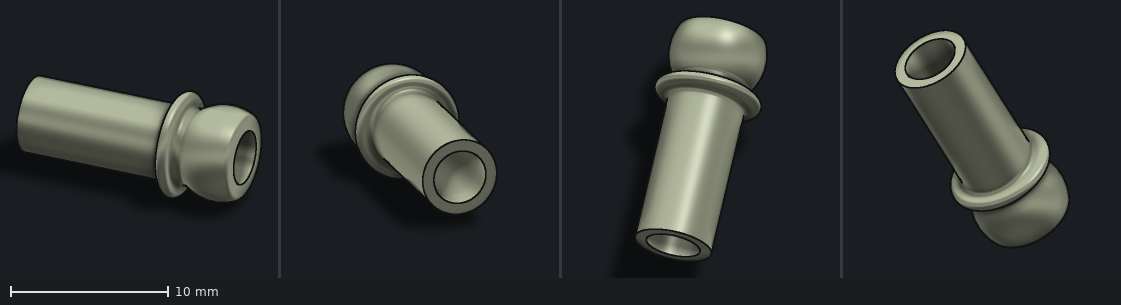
import cadquery as cq
import math

length = 14.82
tube_diameter = 5.0
bore_diameter = 3.5
collar_diameter = 6.95
collar_width = 0.74
collar_center_x = 10.37
ball_diameter = 6.3
ball_center_x = 13.31
blend_radius = 0.4

tube_radius = tube_diameter / 2
ball_radius = ball_diameter / 2
collar_round = collar_width / 2

collar_left = collar_center_x - collar_round
collar_right = collar_center_x + collar_round
collar_crest = collar_diameter / 2
crest_center = collar_crest - collar_round
root_center = tube_radius + blend_radius


def arc_point(center_x, center_r, radius, angle):
    """Point on an arc at the given angle in degrees from +X."""
    turn = math.radians(angle)
    return (center_x + radius * math.cos(turn), center_r + radius * math.sin(turn))


neck_center_distance = ball_radius + blend_radius
neck_x = ball_center_x - math.sqrt(neck_center_distance**2 - root_center**2)
neck_angle = math.degrees(math.atan2(-root_center, ball_center_x - neck_x))
neck_end = arc_point(neck_x, root_center, blend_radius, neck_angle)
neck_middle = arc_point(neck_x, root_center, blend_radius, (neck_angle - 90) / 2)

rim_center_x = length - blend_radius
rim_offset = rim_center_x - ball_center_x
rim_center_r = math.sqrt((ball_radius - blend_radius) ** 2 - rim_offset**2)
rim_angle = math.degrees(math.atan2(rim_center_r, rim_offset))
rim_start = arc_point(rim_center_x, rim_center_r, blend_radius, rim_angle)
rim_middle = arc_point(rim_center_x, rim_center_r, blend_radius, rim_angle / 2)

profile = (
    cq.Workplane("XY")
    .moveTo(0, 0)
    .lineTo(0, tube_radius)
    .lineTo(collar_left - blend_radius, tube_radius)
    .threePointArc(
        arc_point(collar_left - blend_radius, root_center, blend_radius, -45),
        (collar_left, root_center),
    )
    .lineTo(collar_left, crest_center)
    .threePointArc((collar_center_x, collar_crest), (collar_right, crest_center))
    .lineTo(collar_right, root_center)
    .threePointArc(
        arc_point(collar_right + blend_radius, root_center, blend_radius, -135),
        (collar_right + blend_radius, tube_radius),
    )
    .lineTo(neck_x, tube_radius)
    .threePointArc(neck_middle, neck_end)
    .threePointArc((ball_center_x, ball_radius), rim_start)
    .threePointArc(rim_middle, (length, rim_center_r))
    .lineTo(length, 0)
    .close()
)
body = profile.revolve(360, (0, 0, 0), (1, 0, 0))

bore = cq.Workplane("YZ").circle(bore_diameter / 2).extrude(length)
result = body.cut(bore)